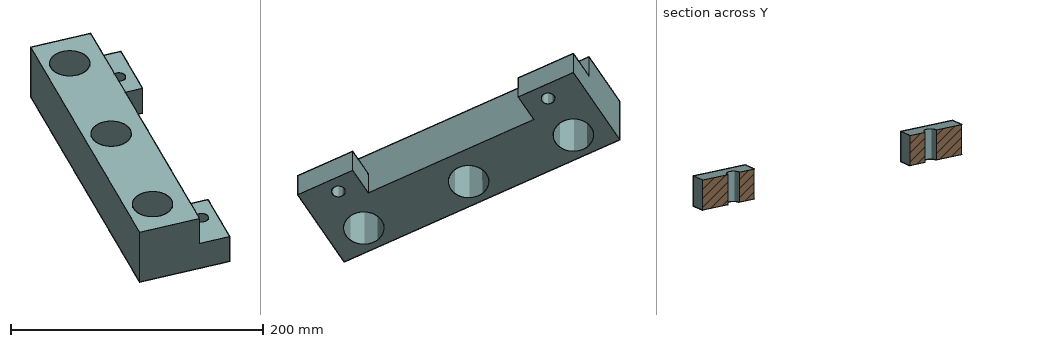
import cadquery as cq

length = 250.0
bar_depth = 50.8
bar_height = 50.8

total_depth = 76.2
tab_depth = total_depth - bar_depth
tab_width = 50.0
tab_height = bar_height / 2

hole_spacing = 95.0
bore_diameter = 32.0
bore_from_front = 22.0
tab_hole_diameter = 10.8
tab_hole_from_front = bar_depth + tab_depth / 2


def box_at(x, y, width, depth, height):
    """Box on the base plane with its left front corner at (x, y)."""
    return cq.Workplane("XY").box(width, depth, height, centered=False).translate((x, y, 0))


def through_hole(x, y, diameter):
    """Vertical cutter spanning the full bar height."""
    return cq.Workplane("XY").center(x, y).circle(diameter / 2).extrude(bar_height)


result = box_at(-length / 2, 0, length, bar_depth, bar_height)

for tab_left in (-length / 2, length / 2 - tab_width):
    result = result.union(box_at(tab_left, bar_depth, tab_width, tab_depth, tab_height))

for bore_x in (-hole_spacing, 0, hole_spacing):
    result = result.cut(through_hole(bore_x, bore_from_front, bore_diameter))

for tab_hole_x in (-hole_spacing, hole_spacing):
    result = result.cut(through_hole(tab_hole_x, tab_hole_from_front, tab_hole_diameter))